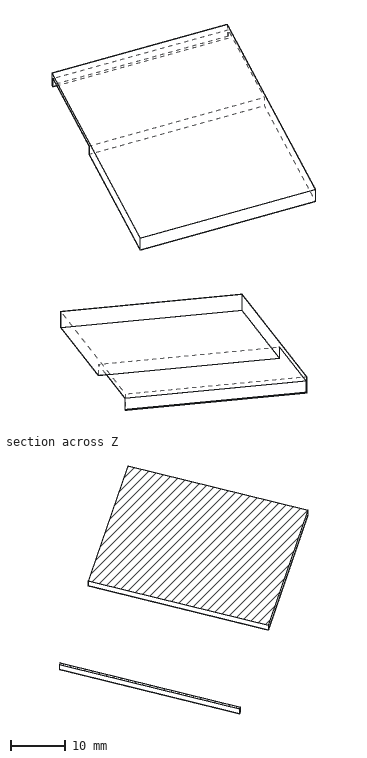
import cadquery as cq

length = 45.22
width = 34.6
height = 3.2

top_thickness = 1.0
end_wall_thickness = 0.5
channel_length = 18.5


def plate():
    """Rectangular block centred on X and Y, standing on Z = 0."""
    return cq.Workplane("XY").box(length, width, height, centered=(True, True, False))


def underside_channel():
    """Full-width channel behind the thin wall at the -X end."""
    channel_start = -length / 2 + end_wall_thickness
    channel_depth = height - top_thickness
    return (
        cq.Workplane("XY")
        .box(channel_length, width, channel_depth, centered=(False, True, False))
        .translate((channel_start, 0, 0))
    )


result = plate().cut(underside_channel())